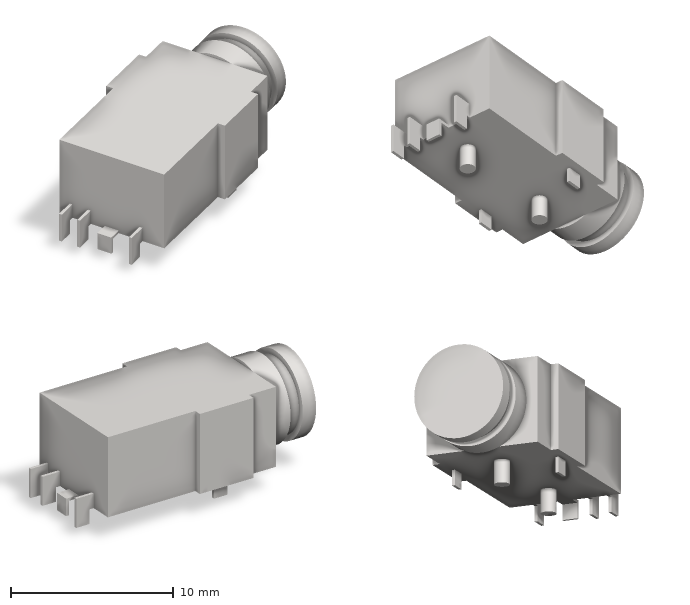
import cadquery as cq


body_width = 7.5
body_height = 5.5
body_length = 12.5
flange_width = 8.5
flange_length = 4.0
flange_setback = 2.0
body_bottom = -body_height / 2
body_back = -body_length

barrel_diameter = 6.0
barrel_length = 3.5
groove_diameter = 5.2
groove_start = 1.6
groove_width = 0.9

peg_diameter = 1.0
peg_length = 1.5
peg_positions = (-3.0, -10.0)

lead_thickness = 0.2
lead_width = 1.0
lead_drop = 1.0
rear_lead_reach = 1.3
rear_lead_rise = 1.0
rear_lead_positions = (-2.9, -1.6, 2.1)
side_lead_offset = 3.5
side_lead_front = -3.5

center_lead_width = 1.0
center_lead_reach = 0.9
center_lead_thickness = 0.2

overlap = 0.5


def box_between(x_range, y_range, z_range):
    """Box spanning the given (low, high) ranges."""
    sizes = [high - low for low, high in (x_range, y_range, z_range)]
    corner = (x_range[0], y_range[0], z_range[0])
    return cq.Workplane("XY").box(*sizes, centered=False).translate(corner)


def centered_range(center, size):
    return (center - size / 2, center + size / 2)


def cylinder_along_y(diameter, y_start, y_end):
    plane = cq.Workplane("XZ", origin=(0, y_start, 0))
    return plane.circle(diameter / 2).extrude(y_start - y_end)


def make_body():
    height_range = centered_range(0, body_height)
    main = box_between(centered_range(0, body_width), (body_back, 0), height_range)
    flange_back = -flange_setback - flange_length
    flange = box_between(
        centered_range(0, flange_width), (flange_back, -flange_setback), height_range
    )
    return main.union(flange, clean=False)


def make_barrel():
    groove_end = groove_start + groove_width
    rear_section = cylinder_along_y(barrel_diameter, 0, groove_start)
    groove_core = cylinder_along_y(groove_diameter, groove_start, groove_end)
    front_rim = cylinder_along_y(barrel_diameter, groove_end, barrel_length)
    return rear_section.union(groove_core).union(front_rim)


def make_peg(y_position):
    plane = cq.Workplane("XY", origin=(0, y_position, body_bottom))
    return plane.circle(peg_diameter / 2).extrude(-peg_length)


def make_rear_lead(x_position):
    """Upright blade leaving the back face, with a narrower tail below the body."""
    x_range = centered_range(x_position, lead_thickness)
    lead_end = body_back - rear_lead_reach
    blade = box_between(
        x_range, (lead_end, body_back + overlap), (body_bottom, body_bottom + rear_lead_rise)
    )
    tail = box_between(
        x_range, (lead_end, lead_end + lead_width), (body_bottom - lead_drop, body_bottom)
    )
    return blade.union(tail, clean=False)


def make_side_lead(x_position):
    return box_between(
        centered_range(x_position, lead_thickness),
        (side_lead_front - lead_width, side_lead_front),
        (body_bottom - lead_drop, body_bottom + overlap),
    )


def make_center_lead():
    """Flat strip leaving the back face and bent straight down."""
    x_range = centered_range(0, center_lead_width)
    lead_end = body_back - center_lead_reach
    strip = box_between(
        x_range, (lead_end, body_back + overlap), (body_bottom, body_bottom + center_lead_thickness)
    )
    leg = box_between(
        x_range, (lead_end, lead_end + center_lead_thickness), (body_bottom - lead_drop, body_bottom)
    )
    return strip.union(leg, clean=False)


result = make_body().union(make_barrel(), clean=False)
for peg_y in peg_positions:
    result = result.union(make_peg(peg_y), clean=False)
for lead_x in rear_lead_positions:
    result = result.union(make_rear_lead(lead_x), clean=False)
for side in (-1, 1):
    result = result.union(make_side_lead(side * side_lead_offset), clean=False)
result = result.union(make_center_lead(), clean=False)